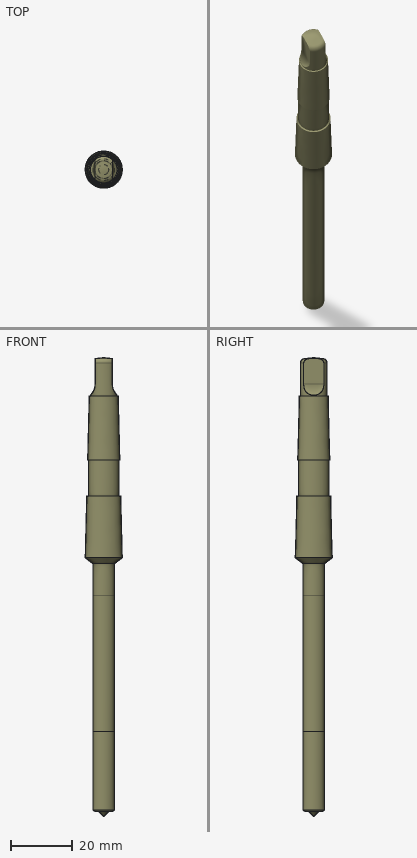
import cadquery as cq
import math

total_length = 150.0
tool_diameter = 7.0

cutting_top = 27.8
cutting_chamfer = 0.6
centre_height = 1.6
centre_radius = centre_height

neck_mark = 72.3
collar_bottom = 82.6
taper_bottom = 84.6
taper_bottom_radius = 12.2 / 2
taper_slope = 0.025
relief_bottom = 104.7
relief_top = 116.5
relief_radius = 10.0 / 2
shoulder_height = 137.4

tang_radius = 8.7 / 2
tang_thickness = 5.7
tang_flat_bottom = 141.3
tang_runout_radius = 5.0
tang_round = 1.5
dome_height = 0.3


def taper_radius(height):
    """Radius of the tapered body at a height above the tip."""
    return taper_bottom_radius - taper_slope * (height - taper_bottom)


def make_cutting_end():
    """Cylindrical cutting end with its chamfer and male centre."""
    radius = tool_diameter / 2
    profile = [
        (0, 0),
        (centre_radius, centre_height),
        (radius - cutting_chamfer, centre_height),
        (radius, centre_height + cutting_chamfer),
        (radius, cutting_top),
        (0, cutting_top),
    ]
    return cq.Workplane("XZ").polyline(profile).close().revolve(360, (0, 0), (0, 1))


def make_turned_shank():
    """Neck, collar, relieved taper and round tang as one revolved profile."""
    dome_radius = tang_radius - tang_round
    dome_edge = total_length - dome_height
    round_offset = tang_round * math.sqrt(0.5)
    round_middle = (dome_radius + round_offset, dome_edge - tang_round + round_offset)
    return (
        cq.Workplane("XZ")
        .moveTo(0, cutting_top)
        .lineTo(tool_diameter / 2, cutting_top)
        .lineTo(tool_diameter / 2, neck_mark)
        .lineTo(tool_diameter / 2, collar_bottom)
        .lineTo(taper_bottom_radius, taper_bottom)
        .lineTo(taper_radius(relief_bottom), relief_bottom)
        .lineTo(relief_radius, relief_bottom)
        .lineTo(relief_radius, relief_top)
        .lineTo(taper_radius(relief_top), relief_top)
        .lineTo(taper_radius(shoulder_height), shoulder_height)
        .lineTo(tang_radius, shoulder_height)
        .lineTo(tang_radius, dome_edge - tang_round)
        .threePointArc(round_middle, (dome_radius, dome_edge))
        .lineTo(0, total_length)
        .close()
        .revolve(360, (0, 0), (0, 1), clean=False)
    )


def make_tang_cutter(side):
    """Cutter for one tang flat, on the +X (side = 1) or -X (side = -1) side."""
    half_thickness = tang_thickness / 2
    arc_centre_x = half_thickness + tang_runout_radius
    inset = arc_centre_x - tang_radius
    runout_end = tang_flat_bottom - math.sqrt(tang_runout_radius**2 - inset**2)
    half_angle = math.acos(inset / tang_runout_radius) / 2
    middle_x = arc_centre_x - tang_runout_radius * math.cos(half_angle)
    middle_z = tang_flat_bottom - tang_runout_radius * math.sin(half_angle)
    outer_x = taper_bottom_radius
    return (
        cq.Workplane("XZ")
        .moveTo(side * half_thickness, total_length)
        .lineTo(side * half_thickness, tang_flat_bottom)
        .threePointArc((side * middle_x, middle_z), (side * tang_radius, runout_end))
        .lineTo(side * outer_x, runout_end)
        .lineTo(side * outer_x, total_length)
        .close()
        .extrude(tang_radius, both=True)
    )


def make_shank():
    """Turned shank with a flat on each side of the tang."""
    shank = make_turned_shank()
    for side in (-1, 1):
        shank = shank.cut(make_tang_cutter(side), clean=False)
    return shank


cutting_end = make_cutting_end()
shank = make_shank()

result = cq.Compound.makeCompound([cutting_end.val(), *shank.solids().vals()])